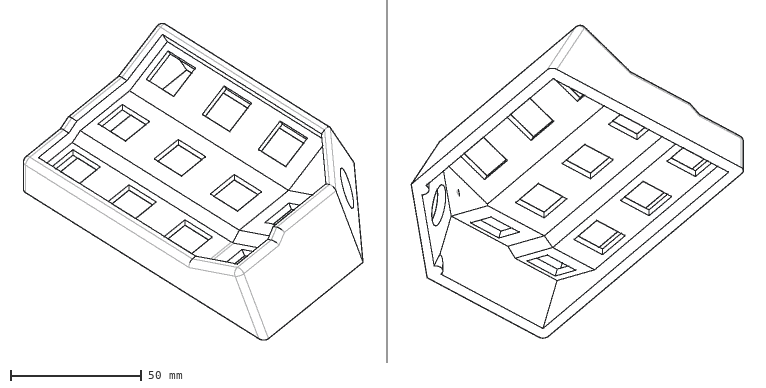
import cadquery as cq
import math

KEY_PITCH = 28.7
KEY_HOLE = 14.0
GRID_LEFT = 0.5
GRID_FRONT = 0.1
COLUMNS = 3
LEVEL_ROWS = 2

TILT = 25.0
TILT_TAN = math.tan(math.radians(TILT))
TILT_COS = math.cos(math.radians(TILT))
FOLD_X = GRID_LEFT + COLUMNS * KEY_PITCH
FOLD_Y = GRID_FRONT + LEVEL_ROWS * KEY_PITCH

LENGTH = 124.7
CORNER_RUN = LENGTH - FOLD_X
WIDTH = FOLD_Y + CORNER_RUN

FLOOR_HEIGHT = 13.8
FLOOR_THICKNESS = 3.0
RIM_OFFSET = 6.7

STEP_DROP = 3.0
STEP_RUN = 4.6
STEP_TOP_Y = GRID_FRONT + KEY_PITCH

WALL = 4.5
LEFT_WALL = 5.1
LEANING_WALL = WALL / TILT_COS
EDGE_RADIUS = 2.5

CABLE_HOLE_DIAMETER = 16.0
CABLE_HOLE_HEIGHT = 13.6
BOSS_DIAMETER = 6.0

BLOCK_HEIGHT = 49.9
BLOCK_LEAN = BLOCK_HEIGHT * TILT_TAN
REACH = 374.2
KEY_CUT = 17.5
TOLERANCE = 0.01


def tilt_right(body):
    """Swing a body up about the right fold of the floor."""
    return body.rotate((FOLD_X, 0, FLOOR_HEIGHT), (FOLD_X, 1, FLOOR_HEIGHT), -TILT)


def tilt_back(body):
    """Swing a body up about the back fold of the floor."""
    return body.rotate((0, FOLD_Y, FLOOR_HEIGHT), (1, FOLD_Y, FLOOR_HEIGHT), TILT)


def space_over_level(height):
    """Space over a level plane."""
    return cq.Workplane("XY", origin=(0, 0, height)).rect(2 * REACH, 2 * REACH).extrude(REACH)


def space_over_rows(offset):
    """Space over the stepped front and middle rows, both endless in X."""
    shift = offset * math.tan(math.atan2(STEP_DROP, STEP_RUN) / 2)
    top = FLOOR_HEIGHT + offset
    outline = [
        (-REACH, top - STEP_DROP),
        (STEP_TOP_Y - STEP_RUN - shift, top - STEP_DROP),
        (STEP_TOP_Y - shift, top),
        (REACH, top),
        (REACH, REACH),
        (-REACH, REACH),
    ]
    return cq.Workplane("YZ").polyline(outline).close().extrude(REACH, both=True)


def space_over_back_bank(offset):
    """Space over the back bank, endless in X."""
    return tilt_back(space_over_level(FLOOR_HEIGHT + offset))


def space_over_corner(offset):
    """Space over the plane that joins the back bank to the right bank."""
    diagonal = cq.Plane(
        origin=(FOLD_X, FOLD_Y, FLOOR_HEIGHT + offset / TILT_COS),
        xDir=(1, 1, 0),
        normal=(1, -1, 0),
    )
    rise = REACH * math.sqrt(2) * TILT_TAN
    outline = [(-REACH, -rise), (REACH, rise), (-REACH, rise)]
    return cq.Workplane(diagonal).polyline(outline).close().extrude(REACH, both=True)


def space_over_banks(offset):
    """Space over the rows, the back bank and the right bank, moved square to each of them."""
    rows = space_over_rows(offset)
    return rows.intersect(tilt_right(rows)).intersect(space_over_back_bank(offset))


def space_over_floor(offset):
    """Space over the whole bent floor, including the corner between the banks."""
    return space_over_banks(offset).intersect(space_over_corner(offset))


def space_over_front_facet():
    """Space over the narrow strip that bridges the fold of the front row at half the tilt."""
    fold_z = FLOOR_HEIGHT - STEP_DROP
    level = space_over_level(fold_z)
    return level.rotate((FOLD_X, 0, fold_z), (FOLD_X, 1, fold_z), -TILT / 2)


def leaning_block(left, front, right, back):
    """Block with upright left and front walls; right and back lean inward with height."""
    across = [(left, 0), (right, 0), (right - BLOCK_LEAN, BLOCK_HEIGHT), (left, BLOCK_HEIGHT)]
    along = [(front, 0), (back, 0), (back - BLOCK_LEAN, BLOCK_HEIGHT), (front, BLOCK_HEIGHT)]
    block = cq.Workplane("XZ").polyline(across).close().extrude(REACH, both=True)
    return block.intersect(cq.Workplane("YZ").polyline(along).close().extrude(REACH, both=True))


def corner_bounds():
    """Upright block over the part of the plan behind and to the right of both folds."""
    corner = cq.Workplane("XY", origin=(FOLD_X, FOLD_Y, 0))
    return corner.rect(REACH, REACH, centered=False).extrude(BLOCK_HEIGHT)


def corner_prism(outline, rounding=0):
    """Carry a (y, z) section at the right fold along the corner wall, up to the back fold."""
    points = [cq.Vector(FOLD_X, y, z) for y, z in outline]
    section = cq.Face.makeFromWires(cq.Wire.makePolygon(points, close=True))
    if rounding:
        highest = max(section.Vertices(), key=lambda vertex: vertex.Z)
        section = section.fillet2D(rounding, [highest])
    along_wall = cq.Vector(CORNER_RUN, -CORNER_RUN, 0)
    prism = cq.Solid.extrudeLinear(section.outerWire(), [], along_wall)
    return cq.Workplane(prism).intersect(corner_bounds())


def inner_block():
    """Block that fills the space between the walls."""
    right = LENGTH - LEANING_WALL
    back = WIDTH - LEANING_WALL
    main = leaning_block(LEFT_WALL, WALL, right, back).cut(corner_bounds())
    corner = [(FOLD_Y, 0), (back, 0), (back - BLOCK_LEAN, BLOCK_HEIGHT), (FOLD_Y, BLOCK_HEIGHT)]
    return main.union(corner_prism(corner))


def is_rounded(edge):
    """True for the rim along the outer walls and for the upright left and front corners."""
    low, high = sorted([edge.startPoint(), edge.endPoint()], key=lambda point: point.z)
    middle = edge.Center()
    on_left = middle.x < TOLERANCE
    on_front = middle.y < TOLERANCE
    on_right = abs(middle.x + middle.z * TILT_TAN - LENGTH) < TOLERANCE
    on_back = abs(middle.y + middle.z * TILT_TAN - WIDTH) < TOLERANCE
    if high.z < TOLERANCE:
        return False
    if low.z < TOLERANCE:
        return on_left or on_front
    return on_left or on_front or on_right or on_back


def main_block():
    """Solid block with the bent rim on top, without the corner between the folds."""
    block = leaning_block(0, 0, LENGTH, WIDTH)
    block = block.cut(space_over_banks(RIM_OFFSET)).cut(corner_bounds())
    solid = block.solids().val()
    edges = [edge for edge in solid.Edges() if is_rounded(edge)]
    return cq.Workplane(solid.fillet(EDGE_RADIUS, edges))


def corner_block():
    """Section of the back bank at the right fold, carried along the corner wall."""
    fold_rim = FLOOR_HEIGHT + RIM_OFFSET / TILT_COS
    rim_rise = (CORNER_RUN - fold_rim * TILT_TAN) * TILT_TAN / (1 + TILT_TAN**2)
    rim_y = FOLD_Y + rim_rise / TILT_TAN
    outline = [(FOLD_Y, 0), (WIDTH, 0), (rim_y, fold_rim + rim_rise), (FOLD_Y, fold_rim)]
    return corner_prism(outline, EDGE_RADIUS)


def key_cutter(column, row):
    """Square bar through one key position of the unbent floor."""
    x = GRID_LEFT + (column + 0.5) * KEY_PITCH
    y = GRID_FRONT + (row + 0.5) * KEY_PITCH
    return cq.Workplane("XY", origin=(x, y, FLOOR_HEIGHT)).box(KEY_HOLE, KEY_HOLE, KEY_CUT)


def key_holes():
    """Level holes in the front and middle rows, tilted ones in the back and right banks."""
    holes = cq.Workplane()
    for column in range(COLUMNS):
        for row in range(LEVEL_ROWS):
            holes = holes.add(key_cutter(column, row))
        holes = holes.add(tilt_back(key_cutter(column, LEVEL_ROWS)))
    for row in range(LEVEL_ROWS):
        holes = holes.add(tilt_right(key_cutter(COLUMNS, row)))
    return holes.combine()


def cable_hole():
    """Round bore square through the middle of the leaning corner wall."""
    inward = (CORNER_RUN - CABLE_HOLE_HEIGHT * TILT_TAN) / 2
    center = (FOLD_X + inward, FOLD_Y + inward, CABLE_HOLE_HEIGHT)
    wall_plane = cq.Plane(origin=center, xDir=(1, -1, 0), normal=(1, 1, TILT_TAN))
    return cq.Workplane(wall_plane).circle(CABLE_HOLE_DIAMETER / 2).extrude(2 * WALL, both=True)


def bosses():
    """Upright bosses in the two inner corners of the corner wall."""
    centers = [(FOLD_X, WIDTH - LEANING_WALL), (LENGTH - LEANING_WALL, FOLD_Y)]
    return cq.Workplane("XY").pushPoints(centers).circle(BOSS_DIAMETER / 2).extrude(BLOCK_HEIGHT)


tray_space = space_over_floor(0).intersect(space_over_front_facet())
tray = inner_block().intersect(tray_space)
cavity = inner_block().cut(space_over_floor(-FLOOR_THICKNESS)).cut(bosses())

body = main_block().union(corner_block())
result = body.cut(tray).cut(cavity).cut(key_holes()).cut(cable_hole())